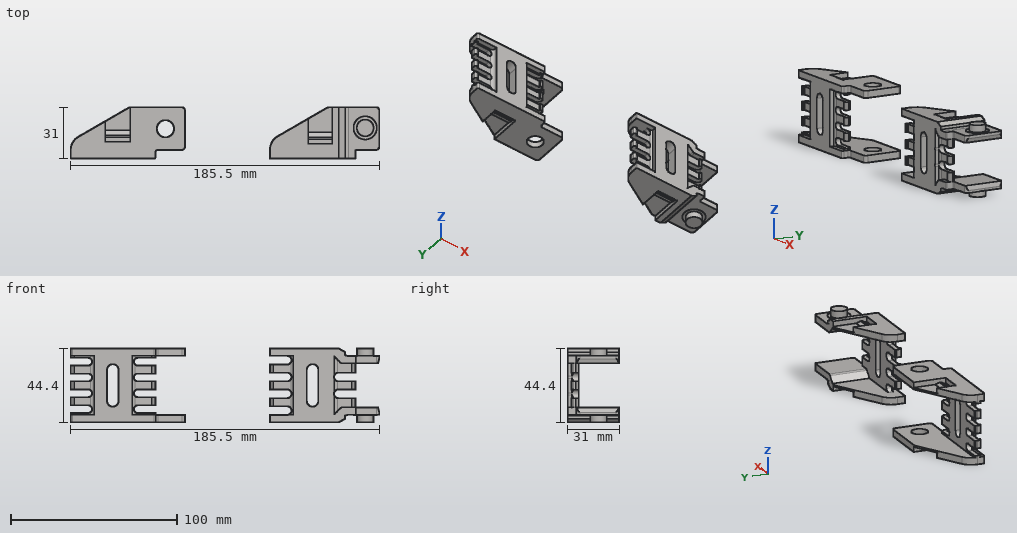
import cadquery as cq
import math


TOTAL_LENGTH = 185.5
HEIGHT = 44.4
DEPTH = 31.0
HALF_HEIGHT = HEIGHT / 2
WALL = 4.5
INNER_HALF = HALF_HEIGHT - WALL
OVERSHOOT = 1.0

SLOPE_ANGLE = math.radians(30)
NOSE_RADIUS = 9.5
EAR_FRONT = 5.2
EAR_RADIUS = 2.0

FINGER_BACK = 6.8
FINGER_FRONT = 3.4
HOOK_FRONT = 2.3
HOOK_LENGTH = 2.2
HOOK_RADIUS = 1.0
FINGER_WIDTH = 5.0
WEB_FILLET = 2.2
NOSE_FINGER_CHAMFER = 0.7
EAR_FINGER_CHAMFER = 2.0

SLOT_WIDTH = 6.8
SLOT_LENGTH = 25.4

POCKET_DEPTH = 3.35
CATCH_WIDTH = 2.8
RIDGE_WIDTH = 1.1
RAMP_WIDTH = 3.0
RIDGE_HEIGHT = 1.0

HOLE_LENGTH = 68.8
HOLE_NOTCH_X = 51.1
HOLE_EDGE_RADIUS = 1.0
HOLE_NOTCH_RADIUS = 1.3
HOLE_SLOPE_TOP_X = 35.5
HOLE_WEB_LEFT = 14.2
HOLE_WEB_RIGHT = 37.0
HOLE_SLOT_X = 25.4
HOLE_GAP = 4.5
HOLE_GAP_LEFT = 12.9
HOLE_GAP_RIGHT = 38.1
HOLE_POCKET_X = (20.8, 36.0)
HOLE_POCKET_FRONT = 10.1
BORE_DIAMETER = 10.2
BORE_X = 57.0
BORE_Y = 18.0

PIN_LENGTH = 65.8
PIN_NOTCH_X = 51.5
PIN_EDGE_RADIUS = 0.3
PIN_NOTCH_RADIUS = 0.5
PIN_SLOPE_TOP_X = 35.0
PIN_TOP_RADIUS = 4.8
PIN_WEB_LEFT = 14.2
PIN_WEB_RIGHT = 38.7
PIN_SLOT_X = 25.7
PIN_GAP = (2 * INNER_HALF - 3 * FINGER_WIDTH) / 4
PIN_GAP_LEFT = 13.0
PIN_GAP_RIGHT = 38.6
PIN_POCKET_X = (23.0, 37.5)
PIN_POCKET_FRONT = 9.0
SHORT_FILLET_RUN = 1.7
BEND_OUTER = (41.5, 45.3, 47.0)
BEND_BEVEL_DROP = 2.15
BEND_FOOT_RISE = 0.5
BEND_INNER_START = 38.4
BEND_INNER_RADIUS = 1.8
EAR_BEVEL = (0.8, 2.8)
PIN_DIAMETER = 10.1
PIN_X = 57.3
PIN_Y = 18.5
BOSS_DIAMETER = 14.0
BOSS_HEIGHT = 0.1


def both_sides(shape):
    """The shape and its mirror image in the plane Z = 0."""
    return [shape, shape.mirror("XY")]


def side_prism(length, notch_x, slope_top_x, edge_radius, notch_radius, top_radius):
    """Outline of the bracket in plan, extruded over the full height."""
    nose_corner_y = DEPTH - slope_top_x * math.tan(SLOPE_ANGLE)
    prism = (
        cq.Workplane("XY")
        .polyline([
            (0, 0),
            (notch_x, 0),
            (notch_x, EAR_FRONT),
            (length, EAR_FRONT),
            (length, DEPTH),
            (slope_top_x, DEPTH),
            (0, nose_corner_y),
        ])
        .close()
        .extrude(HALF_HEIGHT, both=True)
    )
    rounded_corners = [
        (0, 0, edge_radius),
        (notch_x, 0, edge_radius),
        (notch_x, EAR_FRONT, notch_radius),
        (length, EAR_FRONT, EAR_RADIUS),
        (length, DEPTH, EAR_RADIUS),
        (0, nose_corner_y, NOSE_RADIUS),
    ]
    if top_radius > 0:
        rounded_corners.append((slope_top_x, DEPTH, top_radius))
    for x, y, radius in rounded_corners:
        prism = prism.edges(cq.NearestToPointSelector((x, y, 0))).fillet(radius)
    return prism


def web_and_fingers(tip_x, web_left, web_right, left_run, right_run):
    """Web with a full-height comb plate on both sides, not yet divided into fingers."""
    def fillet_drop(run):
        return WEB_FILLET - math.sqrt(WEB_FILLET**2 - run**2)

    def fillet_middle(run):
        half_angle = math.asin(run / WEB_FILLET) / 2
        return WEB_FILLET * math.sin(half_angle), WEB_FILLET * (1 - math.cos(half_angle))

    left_mid = fillet_middle(left_run)
    right_mid = fillet_middle(right_run)
    left_foot = web_left - left_run
    right_foot = web_right + right_run
    tip_mid = HOOK_RADIUS * (1 - math.sqrt(0.5))
    return (
        cq.Workplane("XY")
        .moveTo(left_foot, FINGER_FRONT)
        .lineTo(HOOK_LENGTH, FINGER_FRONT)
        .lineTo(HOOK_LENGTH, HOOK_FRONT)
        .lineTo(HOOK_RADIUS, HOOK_FRONT)
        .threePointArc((tip_mid, HOOK_FRONT + tip_mid), (0, HOOK_FRONT + HOOK_RADIUS))
        .lineTo(0, FINGER_BACK - NOSE_FINGER_CHAMFER)
        .lineTo(NOSE_FINGER_CHAMFER, FINGER_BACK)
        .lineTo(tip_x - EAR_FINGER_CHAMFER, FINGER_BACK)
        .lineTo(tip_x, FINGER_BACK - EAR_FINGER_CHAMFER)
        .lineTo(tip_x, HOOK_FRONT + HOOK_RADIUS)
        .threePointArc((tip_x - tip_mid, HOOK_FRONT + tip_mid), (tip_x - HOOK_RADIUS, HOOK_FRONT))
        .lineTo(tip_x - HOOK_LENGTH, HOOK_FRONT)
        .lineTo(tip_x - HOOK_LENGTH, FINGER_FRONT)
        .lineTo(right_foot, FINGER_FRONT)
        .threePointArc(
            (right_foot - right_mid[0], FINGER_FRONT - right_mid[1]),
            (web_right, FINGER_FRONT - fillet_drop(right_run)),
        )
        .lineTo(web_right, 0)
        .lineTo(web_left, 0)
        .lineTo(web_left, FINGER_FRONT - fillet_drop(left_run))
        .threePointArc(
            (left_foot + left_mid[0], FINGER_FRONT - left_mid[1]),
            (left_foot, FINGER_FRONT),
        )
        .close()
        .extrude(INNER_HALF, both=True)
    )


def finger_gap(end_x, open_x, z, width):
    """Gap between two fingers, with a half-round end at end_x and open towards open_x."""
    direction = math.copysign(1, open_x - end_x)
    centre_x = end_x + direction * width / 2
    round_end = cq.Workplane("XZ", origin=(centre_x, 0, z)).circle(width / 2).extrude(-FINGER_BACK)
    run = abs(open_x - centre_x) + OVERSHOOT
    straight = (
        cq.Workplane("XZ", origin=(centre_x + direction * run / 2, 0, z))
        .rect(run, width)
        .extrude(-FINGER_BACK)
    )
    return round_end.union(straight)


def web_slot(centre_x):
    """Upright slot through the web."""
    return (
        cq.Workplane("XZ", origin=(centre_x, 0, 0))
        .slot2D(SLOT_LENGTH, SLOT_WIDTH, 90)
        .extrude(-FINGER_BACK)
    )


def snap_pocket(x_range, front_y):
    """Pocket in the upper outer face: catch groove, ridge and ramp, then a floor open to the back."""
    floor = HALF_HEIGHT - POCKET_DEPTH
    ridge = floor + RIDGE_HEIGHT
    above = HALF_HEIGHT + OVERSHOOT
    ridge_front = front_y + CATCH_WIDTH
    ridge_back = ridge_front + RIDGE_WIDTH
    start_x, end_x = x_range
    return (
        cq.Workplane("YZ", origin=(start_x, 0, 0))
        .polyline([
            (front_y, above),
            (front_y, floor),
            (ridge_front, floor),
            (ridge_front, ridge),
            (ridge_back, ridge),
            (ridge_back + RAMP_WIDTH, floor),
            (DEPTH + OVERSHOOT, floor),
            (DEPTH + OVERSHOOT, above),
        ])
        .close()
        .extrude(end_x - start_x)
    )


def straight_wall():
    """Upper side wall of the hole bracket."""
    return (
        cq.Workplane("XY")
        .box(HOLE_LENGTH, DEPTH, WALL, centered=False)
        .translate((0, 0, INNER_HALF))
    )


def bent_wall():
    """Upper side wall of the pin bracket: its ear is set inwards by one wall thickness."""
    bevel_x, step_x, foot_x = BEND_OUTER
    ear_inner = INNER_HALF - WALL
    bend_end_x = BEND_INNER_START + WALL
    bevel_x_run, bevel_z_run = EAR_BEVEL
    wall = (
        cq.Workplane("XZ")
        .polyline([
            (0, INNER_HALF),
            (BEND_INNER_START, INNER_HALF),
            (bend_end_x, ear_inner),
            (PIN_LENGTH - bevel_x_run, ear_inner),
            (PIN_LENGTH, ear_inner + bevel_z_run),
            (PIN_LENGTH, INNER_HALF),
            (foot_x, INNER_HALF),
            (step_x, INNER_HALF + BEND_FOOT_RISE),
            (step_x, HALF_HEIGHT - BEND_BEVEL_DROP),
            (bevel_x, HALF_HEIGHT),
            (0, HALF_HEIGHT),
        ])
        .close()
        .extrude(-DEPTH)
    )
    bend_edge = cq.NearestToPointSelector((bend_end_x, DEPTH / 2, ear_inner))
    return wall.edges(bend_edge).fillet(BEND_INNER_RADIUS)


def pivot_pin():
    """Upper pivot pin on its thin boss, rising from the ear to the level of the outer wall face."""
    base = cq.Workplane("XY", origin=(PIN_X, PIN_Y, INNER_HALF))
    boss = base.circle(BOSS_DIAMETER / 2).extrude(BOSS_HEIGHT)
    return boss.union(base.circle(PIN_DIAMETER / 2).extrude(WALL))


def hole_bracket():
    body = web_and_fingers(HOLE_NOTCH_X, HOLE_WEB_LEFT, HOLE_WEB_RIGHT, WEB_FILLET, SHORT_FILLET_RUN)
    pitch = FINGER_WIDTH + HOLE_GAP
    for step in (-1.5, -0.5, 0.5, 1.5):
        body = body.cut(finger_gap(HOLE_GAP_LEFT, 0, step * pitch, HOLE_GAP))
        body = body.cut(finger_gap(HOLE_GAP_RIGHT, HOLE_NOTCH_X, step * pitch, HOLE_GAP))
    body = body.cut(web_slot(HOLE_SLOT_X))
    for wall in both_sides(straight_wall()):
        body = body.union(wall)
    body = body.intersect(side_prism(
        HOLE_LENGTH, HOLE_NOTCH_X, HOLE_SLOPE_TOP_X, HOLE_EDGE_RADIUS, HOLE_NOTCH_RADIUS, top_radius=0,
    ))
    for pocket in both_sides(snap_pocket(HOLE_POCKET_X, HOLE_POCKET_FRONT)):
        body = body.cut(pocket)
    bore = cq.Workplane("XY").center(BORE_X, BORE_Y).circle(BORE_DIAMETER / 2).extrude(HALF_HEIGHT, both=True)
    return body.cut(bore)


def pin_bracket():
    body = web_and_fingers(PIN_NOTCH_X, PIN_WEB_LEFT, PIN_WEB_RIGHT, SHORT_FILLET_RUN, SHORT_FILLET_RUN)
    pitch = FINGER_WIDTH + PIN_GAP
    for step in (-1.5, -0.5, 0.5, 1.5):
        body = body.cut(finger_gap(PIN_GAP_LEFT, 0, step * pitch, PIN_GAP))
    for step in (-0.5, 0.5):
        body = body.cut(finger_gap(PIN_GAP_RIGHT, PIN_NOTCH_X, step * pitch, PIN_GAP))
    body = body.cut(web_slot(PIN_SLOT_X))
    for wall in both_sides(bent_wall()):
        body = body.union(wall)
    body = body.intersect(side_prism(
        PIN_LENGTH, PIN_NOTCH_X, PIN_SLOPE_TOP_X, PIN_EDGE_RADIUS, PIN_NOTCH_RADIUS, PIN_TOP_RADIUS,
    ))
    for pocket in both_sides(snap_pocket(PIN_POCKET_X, PIN_POCKET_FRONT)):
        body = body.cut(pocket)
    for pin in both_sides(pivot_pin()):
        body = body.union(pin)
    return body.translate((TOTAL_LENGTH - PIN_LENGTH, 0, 0))


hole_link = hole_bracket()
pin_link = pin_bracket()
result = cq.Compound.makeCompound([hole_link.val(), pin_link.val()])